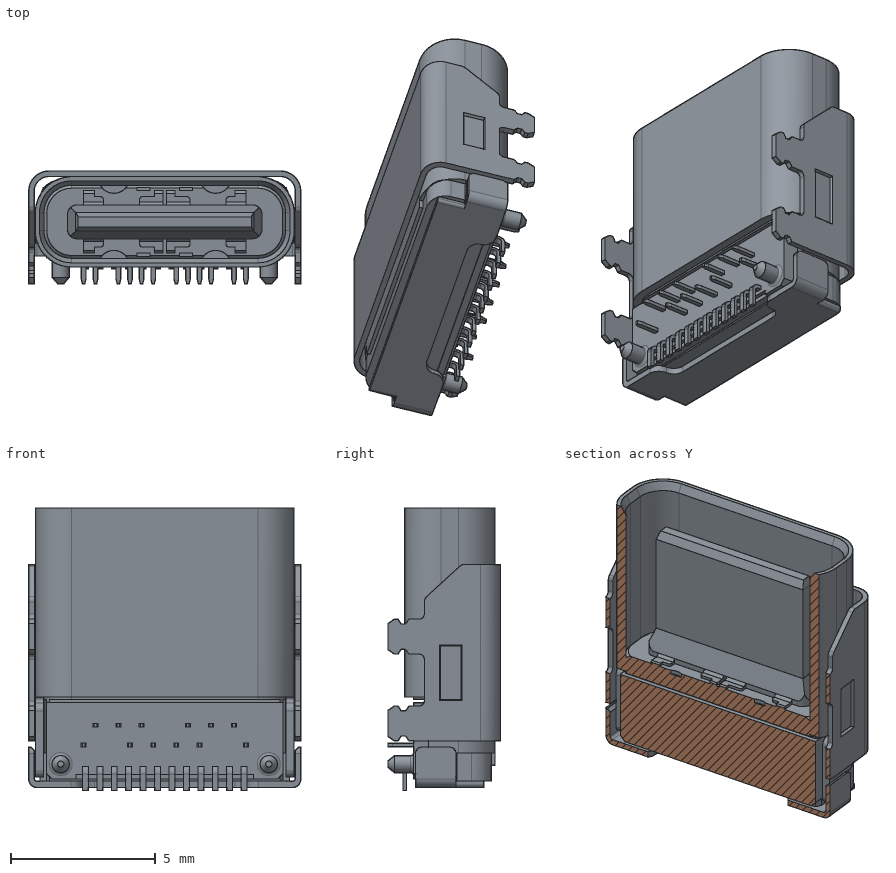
import cadquery as cq
import math


HEIGHT = 9.76
SOLDER_TIP_Y = -2.14
PITCH = 0.5

SHELL_W = 8.94
SHELL_D = 3.12
SHELL_R = 1.26
SHELL_WALL = 0.3
RIM_FLAT = 0.15
RIM_LEAD_IN = 0.29
SHELL_FRONT_Z = 3.23
SHELL_SIDE_Z = 1.31
SHELL_BACK_Z = 0.88
BORE_W = SHELL_W - 2 * SHELL_WALL
BORE_D = SHELL_D - 2 * SHELL_WALL
BORE_R = SHELL_R - SHELL_WALL
SHELL_FLAT_W = SHELL_W - 2 * SHELL_R

WING_TOP_Z = 3.04
WING_BOTTOM_Z = 0.47
WING_FRONT_Y = -0.73
WING_BACK_Y = 0.24
WING_TOP_R = 0.28
WING_BOTTOM_R = 0.21
WING_T = 0.29

FLOOR_Z = 3.9
FLOOR_CHAMFER = 0.1
INSERT_BOTTOM_Z = 3.15
BLOCK_TOP_Z = 3.05
BLOCK_BOTTOM_Z = 0.4
BLOCK_W = 8.18
BLOCK_FRONT_Y = -1.25
BLOCK_CHAMFER = 0.2
BLOCK_SLOT_BACK_Y = -0.88
BODY_W = 8.63
BODY_BACK_Y = 1.43
BODY_R = 0.68
BODY_BOTTOM_Z = 0.33
LEAD_NOTCH_W = 6.13
LEAD_NOTCH_H = 0.17
LEAD_NOTCH_DEPTH = 0.12

TONGUE_BASE = (6.71, 1.17)
TONGUE_BASE_R = 0.33
TONGUE_BODY = (6.15, 0.64)
TONGUE_TIP = (5.97, 0.34)
TONGUE_COLLAR_Z = 4.1
TONGUE_RAMP_Z = 4.88
TONGUE_CHAMFER_Z = 8.42
TONGUE_TIP_Z = 8.72

PAD_H = 0.1
PAD_INNER_Y = 0.49
PAD_RAMP_Y = 0.68
PAD_STEP_Y = 0.87
PAD_OUTER_Y = 1.07
PAD_EDGE = 0.09
OUTER_PAD_X = (2.8, 2.43, 2.12)
INNER_PAD_X = (0.06, 0.35, 0.87)
PAD_CORNER_R = 0.1
RELIEF_X = 1.76
RELIEF_INNER_Y = 0.99
RELIEF_R = 0.54
RELIEF_DEPTH = 0.15
FLOOR_SLOT_X = 0.74
FLOOR_SLOT_W = 0.45
FLOOR_SLOT_Y = (1.08, 1.19)

SHEET_T = 0.2
COVER_W = 9.4
COVER_BACK_Y = 1.76
COVER_R = 0.7
COVER_TOP_Z = 7.81
COVER_BOTTOM_Z = 1.72
COVER_FRONT_Y = -0.88
COVER_SLOPE_Y = 0.41
COVER_SLOPE_Z = 6.63
COVER_CORNER_R = 0.18
COVER_SLOPE_R = 0.24

LEG_H = 1.21
UPPER_LEG_Z = 5.32
LOWER_LEG_Z = COVER_BOTTOM_Z + LEG_H / 2
NECK_BACK_Y = -1.41
NECK_FLAT_Y = (-1.52, -1.68)
NECK_FRONT_Y = (-1.79, -1.91)
NECK_DEPTH = 0.17
LEG_TIP_INSET = 0.16

PANEL_Y = 0.03
PANEL_Z = 4.07
PANEL_SIZE = (0.78, 1.91)
PANEL_TAPER = 0.04
PANEL_DEPTH = 0.1

BRACKET_BOTTOM_Z = 0.11
BRACKET_FRONT_Y = -1.18
BRACKET_BACK_Y = 0.21
BRACKET_TOP_Z = 1.5
BRACKET_BEND_R = 0.29
BRACKET_CORNER_R = 0.21
EAR_BEVEL = 0.12
BRACKET_REAR_W = 8.39
BRACKET_REAR_Y = 1.18
BRACKET_NOTCH_X = (3.24, 2.43)

PEG_X = 3.59
PEG_Z = 0.92
PEG_R = 0.6 / 2
PEG_FLARE = 0.1
PEG_TIP_R = 0.11
PEG_CONE_Y = -1.91
PIN_W = 0.17
PIN_H = 0.13
PIN_TIP_W = 0.09
PIN_TIP_L = 0.16
UPPER_PIN_Z = 2.26
LOWER_PIN_Z = 1.58
UPPER_PIN_X = (0.8, 1.6, 2.39)
LOWER_PIN_X = (0.4, 1.2, 2.8)
PIN_EMBED = 0.1
LEAD_COUNT = 12
LEAD_W = 0.205
LEAD_T = 0.13
LEAD_FRONT_Y = -1.62
LEAD_TOP_Z = 0.84
LEAD_BEND_R = 0.25


def box(x, y, z):
    """Box given by its (low, high) ranges along X, Y and Z."""
    size = [high - low for low, high in (x, y, z)]
    return cq.Workplane("XY").box(*size, centered=False).translate((x[0], y[0], z[0]))


def both_sides(solid):
    """The solid together with its mirror image in X."""
    return solid.union(solid.mirror("YZ"))


def four_ways(solid):
    """The solid repeated by mirroring in X and in Y."""
    pair = both_sides(solid)
    return pair.union(pair.mirror("XZ"))


def rounded_prism(width, depth, radius, z_low, z_high):
    prism = cq.Workplane("XY").workplane(offset=z_low).rect(width, depth).extrude(z_high - z_low)
    return prism.edges("|Z").fillet(radius)


def rounded_rect(width, depth, radius):
    return cq.Sketch().rect(width, depth).vertices().fillet(radius)


def rounded_loft(low_size, low_radius, high_size, high_radius, z_low, z_high):
    low = rounded_rect(*low_size, low_radius).moved(cq.Location(cq.Vector(0, 0, z_low)))
    high = rounded_rect(*high_size, high_radius).moved(cq.Location(cq.Vector(0, 0, z_high)))
    return cq.Workplane("XY").placeSketch(low, high).loft()


def shell():
    half_w = SHELL_W / 2
    half_d = SHELL_D / 2
    tube = rounded_prism(SHELL_W, SHELL_D, SHELL_R, SHELL_BACK_Z, HEIGHT)
    tube = tube.cut(rounded_prism(BORE_W, BORE_D, BORE_R, SHELL_BACK_Z, HEIGHT))
    rim_size = (SHELL_W - 2 * RIM_FLAT, SHELL_D - 2 * RIM_FLAT)
    lead_in = rounded_loft(
        (BORE_W, BORE_D), BORE_R, rim_size, SHELL_R - RIM_FLAT, HEIGHT - RIM_LEAD_IN, HEIGHT
    )
    tube = tube.cut(lead_in)
    below_front = box((-half_w, half_w), (-half_d, WING_BACK_Y), (0, SHELL_FRONT_Z))
    below_corner = box((SHELL_FLAT_W / 2, half_w), (0, half_d), (0, SHELL_SIDE_Z))
    return tube.cut(below_front).cut(both_sides(below_corner))


def wings():
    """Flat side walls below the shell, parted from its front by a round-ended slot."""
    crest_y = WING_FRONT_Y + WING_TOP_R
    slot_r = (SHELL_FRONT_Z - WING_TOP_Z) / 2
    wing = (
        cq.Workplane("YZ")
        .moveTo(WING_BACK_Y, SHELL_FRONT_Z)
        .lineTo(WING_BACK_Y, WING_BOTTOM_Z)
        .lineTo(WING_FRONT_Y + WING_BOTTOM_R, WING_BOTTOM_Z)
        .radiusArc((WING_FRONT_Y, WING_BOTTOM_Z + WING_BOTTOM_R), WING_BOTTOM_R)
        .lineTo(WING_FRONT_Y, WING_TOP_Z - WING_TOP_R)
        .radiusArc((crest_y, WING_TOP_Z), WING_TOP_R)
        .threePointArc((crest_y + slot_r, WING_TOP_Z + slot_r), (crest_y, SHELL_FRONT_Z))
        .close()
        .extrude(WING_T)
    )
    return both_sides(wing.translate((SHELL_W / 2 - WING_T, 0, 0)))


def housing():
    insert = rounded_prism(BORE_W, BORE_D, BORE_R, INSERT_BOTTOM_Z, FLOOR_Z)
    insert = insert.faces(">Z").chamfer(FLOOR_CHAMFER)

    half_block = BLOCK_W / 2
    block_y = (BLOCK_FRONT_Y, BODY_BACK_Y - BODY_R)
    block = box((-half_block, half_block), block_y, (BLOCK_BOTTOM_Z, BLOCK_TOP_Z))
    block = block.edges("|Y and <Z").chamfer(BLOCK_CHAMFER)
    half_notch = LEAD_NOTCH_W / 2
    block = block.cut(
        box(
            (-half_notch, half_notch),
            (BLOCK_FRONT_Y, BLOCK_FRONT_Y + LEAD_NOTCH_DEPTH),
            (BLOCK_BOTTOM_Z, BLOCK_BOTTOM_Z + LEAD_NOTCH_H),
        )
    )

    core = box((-half_block, half_block), (BLOCK_SLOT_BACK_Y, BORE_D / 2), (BODY_BOTTOM_Z, INSERT_BOTTOM_Z))
    core = core.intersect(rounded_prism(BORE_W, BORE_D, BORE_R, 0, HEIGHT))

    half_body = BODY_W / 2
    rear = box((-half_body, half_body), (WING_BACK_Y, BODY_BACK_Y), (BODY_BOTTOM_Z, SHELL_SIDE_Z))
    rear = rear.edges("|Z and >Y").fillet(BODY_R)
    return insert.union(block).union(core).union(rear)


def tongue_taper(plane, axis, length):
    """Tongue silhouette along X (axis 0) or Y (axis 1), extruded both ways."""
    right = [
        (TONGUE_BASE[axis] / 2, FLOOR_Z),
        (TONGUE_BASE[axis] / 2, TONGUE_COLLAR_Z),
        (TONGUE_BODY[axis] / 2, TONGUE_RAMP_Z),
        (TONGUE_BODY[axis] / 2, TONGUE_CHAMFER_Z),
        (TONGUE_TIP[axis] / 2, TONGUE_TIP_Z),
    ]
    left = [(-across, z) for across, z in reversed(right)]
    return cq.Workplane(plane).polyline(right + left).close().extrude(length / 2, both=True)


def tongue():
    blank = rounded_prism(*TONGUE_BASE, TONGUE_BASE_R, FLOOR_Z, TONGUE_TIP_Z)
    thickness = tongue_taper("YZ", 1, TONGUE_BASE[0])
    width = tongue_taper("XZ", 0, TONGUE_BASE[1])
    return blank.intersect(thickness).intersect(width)


def ground_pad(straight_x, step_x, round_x):
    """Stepped pad on the floor, folded up against the tongue at its inner end."""
    toward = math.copysign(PAD_CORNER_R, step_x - round_x)
    outline = (
        cq.Workplane("XY")
        .workplane(offset=FLOOR_Z)
        .moveTo(straight_x, PAD_INNER_Y)
        .lineTo(straight_x, PAD_OUTER_Y)
        .lineTo(step_x, PAD_OUTER_Y)
        .lineTo(step_x, PAD_STEP_Y)
        .lineTo(round_x + toward, PAD_STEP_Y)
        .radiusArc((round_x, PAD_STEP_Y - PAD_CORNER_R), -toward)
        .lineTo(round_x, PAD_INNER_Y)
        .close()
    )
    fold_z = TONGUE_COLLAR_Z
    profile = (
        cq.Workplane("YZ")
        .moveTo(PAD_INNER_Y, FLOOR_Z)
        .lineTo(PAD_OUTER_Y, FLOOR_Z)
        .lineTo(PAD_OUTER_Y - PAD_EDGE, FLOOR_Z + PAD_H)
        .lineTo(PAD_RAMP_Y, FLOOR_Z + PAD_H)
        .lineTo(TONGUE_BASE[1] / 2, fold_z)
        .lineTo(PAD_INNER_Y, fold_z)
        .close()
        .extrude(SHELL_W / 2)
    )
    return outline.extrude(fold_z - FLOOR_Z).intersect(profile)


def floor_reliefs():
    """Round reliefs and narrow slots along the long sides of the floor."""
    relief = (
        cq.Workplane("XY")
        .workplane(offset=FLOOR_Z - RELIEF_DEPTH)
        .center(RELIEF_X, RELIEF_INNER_Y + RELIEF_R)
        .circle(RELIEF_R)
        .extrude(RELIEF_DEPTH)
    )
    half_w = FLOOR_SLOT_W / 2
    slot_x = (FLOOR_SLOT_X - half_w, FLOOR_SLOT_X + half_w)
    slot = box(slot_x, FLOOR_SLOT_Y, (FLOOR_Z - RELIEF_DEPTH, FLOOR_Z))
    cavity = rounded_prism(BORE_W, BORE_D, BORE_R, INSERT_BOTTOM_Z, HEIGHT)
    return four_ways(relief.union(slot)).intersect(cavity)


def leg(z_mid):
    """Solder leg outline in Y-Z: a necked tab with a blunt tip, across the sheet width."""
    half = LEG_H / 2
    upper = [
        (COVER_FRONT_Y, half),
        (NECK_BACK_Y, half),
        (NECK_FLAT_Y[0], half - NECK_DEPTH),
        (NECK_FLAT_Y[1], half - NECK_DEPTH),
        (NECK_FRONT_Y[0], half),
        (NECK_FRONT_Y[1], half),
        (SOLDER_TIP_Y, half - LEG_TIP_INSET),
    ]
    lower = [(y, -z) for y, z in reversed(upper)]
    points = [(y, z_mid + z) for y, z in upper + lower]
    return cq.Workplane("YZ").polyline(points).close().extrude(COVER_W / 2, both=True)


def cover_side_profile():
    body = (
        cq.Workplane("YZ")
        .moveTo(COVER_BACK_Y, COVER_BOTTOM_Z)
        .lineTo(COVER_BACK_Y, COVER_TOP_Z)
        .lineTo(COVER_SLOPE_Y, COVER_TOP_Z)
        .lineTo(COVER_FRONT_Y, COVER_SLOPE_Z)
        .lineTo(COVER_FRONT_Y, COVER_BOTTOM_Z)
        .close()
        .extrude(COVER_W / 2, both=True)
    )
    for y, z in ((COVER_SLOPE_Y, COVER_TOP_Z), (COVER_FRONT_Y, COVER_SLOPE_Z)):
        slope_end = cq.selectors.NearestToPointSelector((0, y, z))
        body = body.edges("|X").edges(slope_end).fillet(COVER_SLOPE_R)
    profile = body.union(leg(UPPER_LEG_Z)).union(leg(LOWER_LEG_Z))
    leg_roots = [
        UPPER_LEG_Z + LEG_H / 2,
        UPPER_LEG_Z - LEG_H / 2,
        LOWER_LEG_Z + LEG_H / 2,
    ]
    for z in leg_roots:
        root = cq.selectors.NearestToPointSelector((0, COVER_FRONT_Y, z))
        profile = profile.edges("|X").edges(root).fillet(COVER_CORNER_R)
    return profile


def cover_panel():
    """Pressed-in recess on the +X side of the cover, and the boss it forms inside."""
    width, height = PANEL_SIZE
    outer_face = cq.Workplane("YZ", origin=(COVER_W / 2, PANEL_Y, PANEL_Z))
    recess = (
        outer_face.rect(width, height)
        .workplane(offset=-PANEL_DEPTH)
        .rect(width - 2 * PANEL_TAPER, height - 2 * PANEL_TAPER)
        .loft(combine=True)
    )
    boss_depth = COVER_W / 2 - SHEET_T - SHELL_W / 2
    boss = (
        cq.Workplane("YZ", origin=(SHELL_W / 2, PANEL_Y, PANEL_Z))
        .rect(width - 2 * PANEL_TAPER, height - 2 * PANEL_TAPER)
        .extrude(boss_depth)
    )
    return recess, boss


def cover():
    half_w = COVER_W / 2
    inner_w = half_w - SHEET_T
    z_range = (0, HEIGHT)
    wrap = box((-half_w, half_w), (SOLDER_TIP_Y, COVER_BACK_Y), z_range)
    wrap = wrap.edges("|Z and >Y").fillet(COVER_R)
    inside = box((-inner_w, inner_w), (SOLDER_TIP_Y, COVER_BACK_Y - SHEET_T), z_range)
    inside = inside.edges("|Z and >Y").fillet(COVER_R - SHEET_T)
    recess, boss = cover_panel()
    sheet = wrap.cut(inside).intersect(cover_side_profile())
    return sheet.cut(both_sides(recess)).union(both_sides(boss))


def bracket():
    """Sheet under the housing with an upright ear at each end and a notch for the leads."""
    half_w = COVER_W / 2
    inner_w = half_w - SHEET_T
    y_range = (BRACKET_FRONT_Y, BRACKET_BACK_Y)
    plate_top_z = BODY_BOTTOM_Z
    channel = box((-half_w, half_w), y_range, (BRACKET_BOTTOM_Z, BRACKET_TOP_Z))
    channel = channel.edges("|Y and <Z").fillet(BRACKET_BEND_R)
    channel = channel.edges("|X and >Z").fillet(BRACKET_CORNER_R)
    inside = box((-inner_w, inner_w), y_range, (plate_top_z, BRACKET_TOP_Z))
    channel = channel.cut(inside.edges("|Y and <Z").fillet(BRACKET_BEND_R - SHEET_T))
    bevel = [
        (inner_w, BRACKET_TOP_Z - EAR_BEVEL),
        (inner_w, BRACKET_TOP_Z),
        (inner_w + EAR_BEVEL, BRACKET_TOP_Z),
    ]
    bevel_cut = cq.Workplane("XZ").polyline(bevel).close().extrude(COVER_W / 2, both=True)
    channel = channel.cut(both_sides(bevel_cut))

    half_rear = BRACKET_REAR_W / 2
    rear = box((-half_rear, half_rear), (BRACKET_BACK_Y, BRACKET_REAR_Y), (BRACKET_BOTTOM_Z, plate_top_z))
    rear = rear.edges("|Y and <Z").fillet(SHEET_T / 2)

    outer_x, inner_x = BRACKET_NOTCH_X
    curve = (outer_x - inner_x) / 2
    front_y = BRACKET_FRONT_Y
    notch = (
        cq.Workplane("XY")
        .moveTo(-outer_x, front_y)
        .radiusArc((-outer_x + curve, front_y + curve), -curve)
        .radiusArc((-inner_x, front_y + 2 * curve), curve)
        .lineTo(inner_x, front_y + 2 * curve)
        .radiusArc((outer_x - curve, front_y + curve), curve)
        .radiusArc((outer_x, front_y), -curve)
        .close()
        .extrude(plate_top_z)
    )
    return channel.union(rear).cut(notch)


def pegs():
    """Locating pegs with a flared root and a conical tip, pointing to -Y."""
    root_y = BLOCK_FRONT_Y
    profile = (
        cq.Workplane("XY")
        .moveTo(0, root_y + PIN_EMBED)
        .lineTo(PEG_R + PEG_FLARE, root_y + PIN_EMBED)
        .lineTo(PEG_R + PEG_FLARE, root_y)
        .radiusArc((PEG_R, root_y - PEG_FLARE), -PEG_FLARE)
        .lineTo(PEG_R, PEG_CONE_Y)
        .lineTo(PEG_TIP_R, SOLDER_TIP_Y)
        .lineTo(0, SOLDER_TIP_Y)
        .close()
    )
    peg = profile.revolve(360, (0, 0, 0), (0, 1, 0))
    return both_sides(peg.translate((PEG_X, 0, PEG_Z)))


def pin(x, z):
    """Straight through-hole pin with a narrowed end."""
    half_w = PIN_W / 2
    half_tip = PIN_TIP_W / 2
    start_y = BLOCK_FRONT_Y + PIN_EMBED
    shoulder_y = SOLDER_TIP_Y + PIN_TIP_L
    points = [
        (-half_w, start_y),
        (half_w, start_y),
        (half_w, shoulder_y),
        (half_tip, SOLDER_TIP_Y),
        (-half_tip, SOLDER_TIP_Y),
        (-half_w, shoulder_y),
    ]
    bar = cq.Workplane("XY").polyline(points).close().extrude(PIN_H)
    return bar.translate((x, 0, z - PIN_H / 2))


def pins():
    placed = cq.Workplane("XY")
    for row_z, row_x in ((UPPER_PIN_Z, UPPER_PIN_X), (LOWER_PIN_Z, LOWER_PIN_X)):
        for x in row_x:
            placed = placed.union(both_sides(pin(x, row_z)))
    return placed


def lead(x):
    """Surface-mount lead: out of the block, then bent down to Z = 0."""
    back_y = BLOCK_FRONT_Y + LEAD_NOTCH_DEPTH + PIN_EMBED
    inner_r = LEAD_BEND_R - LEAD_T
    profile = (
        cq.Workplane("YZ")
        .moveTo(back_y, LEAD_TOP_Z)
        .lineTo(LEAD_FRONT_Y + LEAD_BEND_R, LEAD_TOP_Z)
        .radiusArc((LEAD_FRONT_Y, LEAD_TOP_Z - LEAD_BEND_R), -LEAD_BEND_R)
        .lineTo(LEAD_FRONT_Y, 0)
        .lineTo(LEAD_FRONT_Y + LEAD_T, 0)
        .lineTo(LEAD_FRONT_Y + LEAD_T, LEAD_TOP_Z - LEAD_BEND_R)
        .radiusArc((LEAD_FRONT_Y + LEAD_BEND_R, LEAD_TOP_Z - LEAD_T), inner_r)
        .lineTo(back_y, LEAD_TOP_Z - LEAD_T)
        .close()
    )
    return profile.extrude(LEAD_W / 2, both=True).translate((x, 0, 0))


def leads():
    placed = cq.Workplane("XY")
    first_x = -PITCH * (LEAD_COUNT - 1) / 2
    for index in range(LEAD_COUNT):
        placed = placed.union(lead(first_x + index * PITCH))
    return placed


ground_pads = four_ways(ground_pad(*OUTER_PAD_X).union(ground_pad(*INNER_PAD_X)))

result = shell().union(housing().cut(floor_reliefs())).union(wings())
for piece in (tongue(), ground_pads, cover(), bracket(), pegs(), pins(), leads()):
    result = result.union(piece)